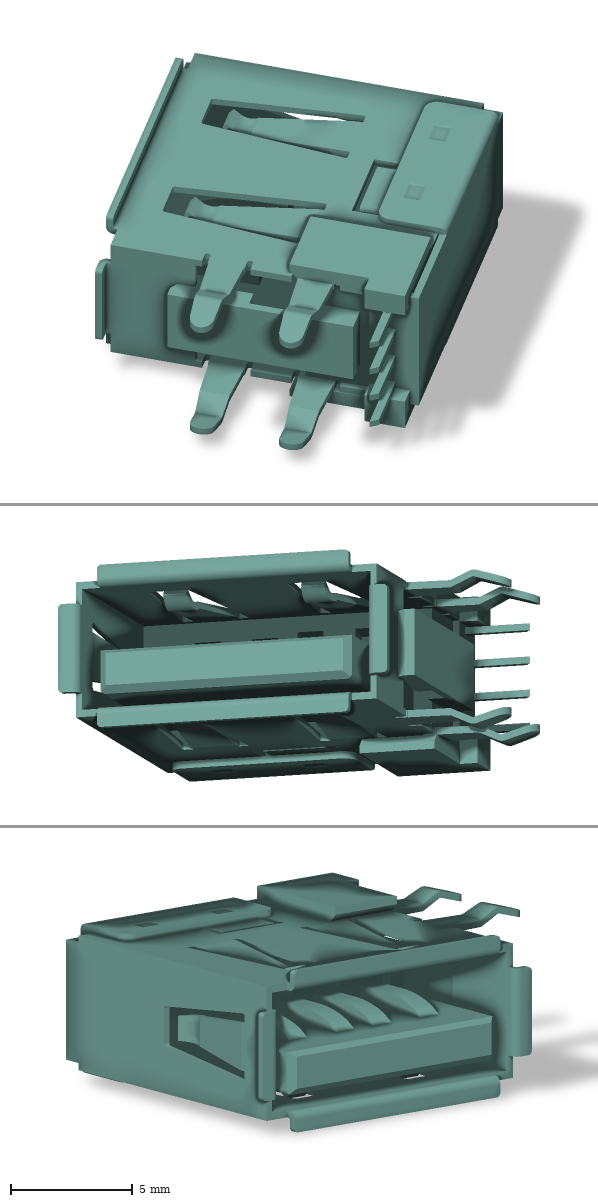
import cadquery as cq
import math


SHELL_FRONT = 0.5
SHELL_BACK = 13.69
SHELL_HALF_Y = 6.52
SHELL_HALF_Z = 2.85
SHEET = 0.3
SIDE_SHEET = 0.27
INNER_BACK = SHELL_BACK - SHEET
INNER_HALF_Y = SHELL_HALF_Y - SIDE_SHEET
INNER_HALF_Z = SHELL_HALF_Z - SHEET
OPEN_SIDE_START = 4.13

FLANGE_BEND = 0.34
FLANGE_INNER_BEND = 0.07
FLANGE_TIP_Z = 3.41
FLANGE_TIP_Y = 7.13
FLANGE_HALF_LONG = 5.45
FLANGE_HALF_SHORT = 1.85
FLANGE_CORNER = 0.18

FINGER_ROOT_HALF = 1.0
FINGER_TIP_HALF = 0.5
FINGER_RISE = math.radians(40)
FINGER_FOLD_ENTRY = math.radians(30)
FINGER_FOLD_RADIUS = 0.66
FINGER_LIP = 0.4
TOP_FINGER_ROOT = 8.15
TOP_FINGER_RUN = 4.1
TOP_FINGER_DROP = 0.4
TOP_FINGER_Y = 2.98
SIDE_FINGER_ROOT = 2.2
SIDE_FINGER_RUN = 3.29
SIDE_FINGER_DROP = 0.48
SLOT_BEHIND_ROOT = 0.25
TOP_SLOT_RUN = 6.18
SIDE_SLOT_RUN = 5.04
SLOT_ROOT_HALF = 1.45
SLOT_TIP_HALF = 0.84
SLOT_CORNER = 0.1

PIN_XS = (5.45, 9.27)
PIN_ROOT_Y = -5.99
PIN_RISE_Y = -8.33
PIN_PEAK_Y = -9.27
PIN_END_Y = -10.74
PIN_PEAK_LIFT = 0.43
PIN_PEAK_RADIUS = 0.45
PIN_ROOT_HALF = 0.79
PIN_TIP_HALF = 0.52
RELIEF_WIDTH = 0.25

TAB_START = 10.67
TAB_Y_MIN = -2.2
TAB_Y_MAX = 5.75
TAB_CORNER = 0.54
TAB_BEND = 0.29
DIMPLE_X = 11.75
DIMPLE_YS = (3.8, -0.18)
DIMPLE_SIZE = (0.77, 1.0)
DIMPLE_DEPTH = 0.04
DIMPLE_SLOPE = 70
WINDOW_START = 9.49
WINDOW_END = 11.25
WINDOW_Y = 0.04
WINDOW_WIDTH = 3.48
LATCH_GAP = 0.25
LATCH_CHAMFER = 0.18
NOTCH_START = 12.87
REAR_SLIT_END_Y = -6.22

HOUSING_FRONT = 8.77
HOUSING_BACK = 13.31
PIN_BLOCK_START = 11.58
WING_FRONT_Y = -6.55
STAND_Y = -7.3
WING_START = 8.17
WING_HALF_Z = 3.5
WING_Y_MAX = -3.3
WING_CHAMFER = 0.32
UPPER_LEG_INNER_Z = 2.48
LOWER_LEG_INNER_Z = -2.1
CAP_START = 3.15
CAP_END = 11.1
CAP_HALF_Z = 1.4
CAP_CHAMFER_X = 0.23
CAP_CHAMFER_Y = 0.32
CAP_INNER_Y = -6.3
CAP_RECESS_START = 6.55
CAP_RECESS_END = 8.2
CAP_RECESS_Y = -6.97

TONGUE_FRONT = 0.21
TONGUE_HALF_Y = 5.45
TONGUE_TOP = -0.09
TONGUE_BOTTOM = -1.93
TONGUE_CHAMFER = 0.3
TONGUE_TOP_CHAMFER = 0.18
TONGUE_ROUND = 0.21
CONTACT_YS = (3.48, 0.98, -0.98, -3.48)
CONTACT_WIDTH = 0.96
CONTACT_START = 2.2
CONTACT_ARC_START = (2.68, 0.21)
CONTACT_PEAK_X = 4.54
CONTACT_PEAK_Z = 0.59
CONTACT_END = 6.15
PORT_WIDTH = 1.13
PORT_TOP = 1.7
PORT_DEPTH = 0.9
PORT_LEAD_IN = 0.18
TAIL_X = 12.53
TAIL_ZS = (2.25, 0.85, -0.54, -1.93)
TAIL_WIDTH = 0.34
TAIL_HEIGHT = 0.29
TAIL_END_Y = -9.33
TAIL_BEVEL = 0.23


def box(x0, x1, y0, y1, z0, z1):
    return cq.Workplane("XY").box(x1 - x0, y1 - y0, z1 - z0, centered=False).translate((x0, y0, z0))


def mirror_z(solid):
    return solid.mirror("XY")


def tapered_plan(x0, half0, x1, half1, z0, z1):
    """Prism symmetric about Y = 0 whose half width runs from half0 at x0 to half1 at x1."""
    points = [(x0, -half0), (x1, -half1), (x1, half1), (x0, half0)]
    return cq.Workplane("XY").polyline(points).close().extrude(z1 - z0).translate((0, 0, z0))


def flange(wall, height, half_width):
    """Flared lip of a wall whose outer face is Z = 0."""
    bend_middle = FLANGE_BEND * (1 - math.sqrt(0.5))
    inner_middle = FLANGE_INNER_BEND * (1 - math.sqrt(0.5))
    lip = (
        cq.Workplane("XZ")
        .moveTo(SHELL_FRONT, -wall)
        .lineTo(FLANGE_BEND, -wall)
        .threePointArc((bend_middle, bend_middle - wall), (0, FLANGE_BEND - wall))
        .lineTo(0, height)
        .lineTo(SHEET, height)
        .lineTo(SHEET, FLANGE_INNER_BEND)
        .threePointArc((SHEET + inner_middle, inner_middle), (SHEET + FLANGE_INNER_BEND, 0))
        .lineTo(SHELL_FRONT, 0)
        .close()
        .extrude(half_width, both=True)
    )
    return lip.edges("|X and >Z").fillet(FLANGE_CORNER)


def finger(wall, run, drop):
    """Sprung finger with an upturned lip, rooted at X = 0 in a wall with outer face Z = 0, pointing to -X."""
    def offset(point, distance, angle):
        return (point[0] + distance * math.sin(angle), point[1] + distance * math.cos(angle))

    fold_start = (-run, -drop)
    fold_centre = offset(fold_start, FINGER_FOLD_RADIUS, -FINGER_FOLD_ENTRY)
    under_radius = FINGER_FOLD_RADIUS + wall
    fold_end = offset(fold_centre, -FINGER_FOLD_RADIUS, FINGER_RISE)
    lip_top = (
        fold_end[0] - FINGER_LIP * math.cos(FINGER_RISE),
        fold_end[1] + FINGER_LIP * math.sin(FINGER_RISE),
    )
    lip_under = offset(lip_top, -wall, FINGER_RISE)
    under_fold_end = offset(fold_centre, -under_radius, FINGER_RISE)
    under_fold_low = offset(fold_centre, -under_radius, 0)
    under_fold_start = offset(fold_centre, -under_radius, -FINGER_FOLD_ENTRY)
    strip = (
        cq.Workplane("XZ")
        .moveTo(0, 0)
        .lineTo(*fold_start)
        .threePointArc(offset(fold_centre, -FINGER_FOLD_RADIUS, 0), fold_end)
        .lineTo(*lip_top)
        .lineTo(*lip_under)
        .lineTo(*under_fold_end)
        .threePointArc(under_fold_low, under_fold_start)
        .lineTo(0, -wall)
        .close()
        .extrude(FINGER_ROOT_HALF, both=True)
    )
    plan = tapered_plan(lip_under[0], FINGER_TIP_HALF, 0, FINGER_ROOT_HALF, -SHELL_HALF_Z, SHELL_HALF_Z)
    return strip.intersect(plan)


def finger_slot(wall, run):
    """U-shaped opening around a finger."""
    opening = tapered_plan(-run, SLOT_TIP_HALF, SLOT_BEHIND_ROOT, SLOT_ROOT_HALF, -wall, 0)
    opening = opening.edges("|Z").fillet(SLOT_CORNER)
    root = box(0, SLOT_BEHIND_ROOT, -FINGER_ROOT_HALF, FINGER_ROOT_HALF, -wall, 0)
    return opening.cut(root)


def on_top(solid, x=0, y=0):
    """Place a wall feature on the top of the shell."""
    return solid.translate((x, y, SHELL_HALF_Z))


def on_left(solid, x=0):
    """Place a wall feature on the +Y wall."""
    return solid.rotate((0, 0, 0), (1, 0, 0), -90).translate((x, SHELL_HALF_Y, 0))


def shield_pin(x):
    """Upper solder pin, bent outwards and back, with a rounded end."""
    top = SHELL_HALF_Z
    peak = top + PIN_PEAK_LIFT
    upper = [(PIN_ROOT_Y, top), (PIN_RISE_Y, top), (PIN_PEAK_Y, peak), (PIN_END_Y, top)]
    lower = [(y, z - SHEET) for y, z in reversed(upper)]
    strip = (
        cq.Workplane("YZ")
        .polyline(upper + lower)
        .close()
        .extrude(PIN_ROOT_HALF, both=True)
        .edges("|X and >Z")
        .fillet(PIN_PEAK_RADIUS)
    )
    round_start = PIN_END_Y + PIN_TIP_HALF
    plan = (
        cq.Workplane("XY")
        .moveTo(-PIN_ROOT_HALF, PIN_ROOT_Y)
        .lineTo(-PIN_TIP_HALF, round_start)
        .threePointArc((0, PIN_END_Y), (PIN_TIP_HALF, round_start))
        .lineTo(PIN_ROOT_HALF, PIN_ROOT_Y)
        .close()
        .extrude(WING_HALF_Z)
    )
    return strip.intersect(plan).translate((x, 0, 0))


def pin_relief(x):
    """Round-ended slit centred on x beside the root of an upper pin."""
    radius = RELIEF_WIDTH / 2
    end = PIN_ROOT_Y - radius
    slit = box(x - radius, x + radius, -SHELL_HALF_Y, end, INNER_HALF_Z, SHELL_HALF_Z)
    round_end = cq.Workplane("XY", origin=(x, end, INNER_HALF_Z)).circle(radius).extrude(SHEET)
    return slit.union(round_end)


def rear_tab():
    """Flap of the rear cover folded onto the top of the shell."""
    top = SHELL_HALF_Z + SHEET
    tab = box(TAB_START, SHELL_BACK, TAB_Y_MIN, TAB_Y_MAX, SHELL_HALF_Z, top)
    tab = tab.edges("|Z and <X").fillet(TAB_CORNER)
    tab = tab.edges(">X and >Z").fillet(TAB_BEND)
    for y in DIMPLE_YS:
        dimple = (
            cq.Workplane("XY", origin=(DIMPLE_X, y, top))
            .rect(*DIMPLE_SIZE)
            .extrude(-DIMPLE_DEPTH, taper=DIMPLE_SLOPE)
        )
        tab = tab.cut(dimple)
    return tab


def latch():
    """Bevelled housing pad that fills the shell window."""
    half = WINDOW_WIDTH / 2 - LATCH_GAP
    pad = box(WINDOW_START + LATCH_GAP, WINDOW_END, WINDOW_Y - half, WINDOW_Y + half,
              INNER_HALF_Z, SHELL_HALF_Z)
    return pad.edges("|X and >Z").chamfer(LATCH_CHAMFER)


def shell():
    outer = box(SHELL_FRONT, SHELL_BACK, -SHELL_HALF_Y, SHELL_HALF_Y, -SHELL_HALF_Z, SHELL_HALF_Z)
    inner = box(SHELL_FRONT, INNER_BACK, -INNER_HALF_Y, INNER_HALF_Y, -INNER_HALF_Z, INNER_HALF_Z)
    open_side = box(OPEN_SIDE_START, INNER_BACK, -SHELL_HALF_Y, -INNER_HALF_Y,
                    -INNER_HALF_Z, INNER_HALF_Z)
    body = outer.cut(inner).cut(open_side)

    window_half = WINDOW_WIDTH / 2
    top_cuts = [box(WINDOW_START, WINDOW_END, WINDOW_Y - window_half, WINDOW_Y + window_half,
                    INNER_HALF_Z, SHELL_HALF_Z)]
    top_parts = [on_top(flange(SHEET, FLANGE_TIP_Z - SHELL_HALF_Z, FLANGE_HALF_LONG)), rear_tab()]
    for y in (-TOP_FINGER_Y, TOP_FINGER_Y):
        slot = finger_slot(SHEET, TOP_SLOT_RUN)
        spring = finger(SHEET, TOP_FINGER_RUN, TOP_FINGER_DROP)
        top_cuts.append(on_top(slot, TOP_FINGER_ROOT, y))
        top_parts.append(on_top(spring, TOP_FINGER_ROOT, y))
    for x in PIN_XS:
        relief_offset = PIN_ROOT_HALF + RELIEF_WIDTH / 2
        top_cuts += [pin_relief(x - relief_offset), pin_relief(x + relief_offset)]
        top_parts.append(shield_pin(x))

    for cut in top_cuts:
        body = body.cut(cut).cut(mirror_z(cut))
    for part in top_parts:
        body = body.union(part).union(mirror_z(part))

    side_flange = on_left(flange(SIDE_SHEET, FLANGE_TIP_Y - SHELL_HALF_Y, FLANGE_HALF_SHORT))
    body = body.union(side_flange).union(side_flange.mirror("XZ"))
    side_slot = finger_slot(SIDE_SHEET, SIDE_SLOT_RUN).mirror("YZ")
    side_finger = finger(SIDE_SHEET, SIDE_FINGER_RUN, SIDE_FINGER_DROP).mirror("YZ")
    body = body.cut(on_left(side_slot, SIDE_FINGER_ROOT))
    return body.union(on_left(side_finger, SIDE_FINGER_ROOT))


def wing():
    """Upper shelf of the housing lying on the shell, with one bevelled end."""
    profile = [
        (WING_START, WING_HALF_Z),
        (WING_START, SHELL_HALF_Z + WING_CHAMFER),
        (WING_START + WING_CHAMFER, SHELL_HALF_Z),
        (HOUSING_BACK, SHELL_HALF_Z),
        (HOUSING_BACK, WING_HALF_Z),
    ]
    depth = WING_Y_MAX - WING_FRONT_Y
    return (
        cq.Workplane("XZ", origin=(0, WING_Y_MAX, 0))
        .polyline(profile)
        .close()
        .extrude(depth)
    )


def cap():
    """Stand-off bar on the open side, notched on its inner face."""
    plan = [
        (CAP_START, STAND_Y),
        (CAP_START, -SHELL_HALF_Y - CAP_CHAMFER_Y),
        (CAP_START + CAP_CHAMFER_X, -SHELL_HALF_Y),
        (OPEN_SIDE_START, -SHELL_HALF_Y),
        (OPEN_SIDE_START, CAP_INNER_Y),
        (CAP_RECESS_START, CAP_INNER_Y),
        (CAP_RECESS_START, CAP_RECESS_Y),
        (CAP_RECESS_END, CAP_RECESS_Y),
        (CAP_RECESS_END, -INNER_HALF_Y),
        (CAP_END, -INNER_HALF_Y),
        (CAP_END, STAND_Y),
    ]
    return cq.Workplane("XY").polyline(plan).close().extrude(CAP_HALF_Z, both=True)


def tongue():
    blade = box(TONGUE_FRONT, HOUSING_FRONT, -TONGUE_HALF_Y, TONGUE_HALF_Y, TONGUE_BOTTOM, TONGUE_TOP)
    blade = blade.edges("|X and <Z").fillet(TONGUE_ROUND)
    depth = TONGUE_CHAMFER
    middle_z = (TONGUE_TOP - TONGUE_TOP_CHAMFER + TONGUE_BOTTOM + depth) / 2
    nose = (
        cq.Workplane("YZ", origin=(TONGUE_FRONT, 0, middle_z))
        .rect(2 * (TONGUE_HALF_Y - depth), TONGUE_TOP - TONGUE_TOP_CHAMFER - TONGUE_BOTTOM - depth)
        .workplane(offset=depth)
        .center(0, (TONGUE_TOP + TONGUE_BOTTOM) / 2 - middle_z)
        .rect(2 * TONGUE_HALF_Y, TONGUE_TOP - TONGUE_BOTTOM)
        .loft(ruled=True)
    )
    rear = box(TONGUE_FRONT + depth, HOUSING_FRONT, -TONGUE_HALF_Y, TONGUE_HALF_Y, TONGUE_BOTTOM, TONGUE_TOP)
    return blade.intersect(nose.union(rear))


def contact_port(y):
    """Opening in the housing above a contact; the two on the -Y side have a sloped lead-in."""
    lead_in = PORT_LEAD_IN if y < 0 else 0
    back = HOUSING_FRONT + PORT_DEPTH
    profile = [
        (HOUSING_FRONT, TONGUE_TOP),
        (back, TONGUE_TOP),
        (back, PORT_TOP),
        (HOUSING_FRONT, PORT_TOP + lead_in),
    ]
    port = cq.Workplane("XZ").polyline(profile).close().extrude(PORT_WIDTH / 2, both=True)
    return port.translate((0, y, 0))


def contact(y):
    """Domed contact spring standing on the tongue."""
    arc_x, arc_z = CONTACT_ARC_START
    rise = CONTACT_PEAK_Z - arc_z
    run = CONTACT_PEAK_X - arc_x
    radius = (run ** 2 + rise ** 2) / (2 * rise)
    middle_x = arc_x + run / 2
    middle_z = CONTACT_PEAK_Z - radius + math.sqrt(radius ** 2 - (run / 2) ** 2)
    spring = (
        cq.Workplane("XZ")
        .moveTo(CONTACT_START, TONGUE_TOP)
        .lineTo(arc_x, arc_z)
        .threePointArc((middle_x, middle_z), (CONTACT_PEAK_X, CONTACT_PEAK_Z))
        .lineTo(CONTACT_END, CONTACT_PEAK_Z)
        .lineTo(CONTACT_END, TONGUE_TOP)
        .close()
        .extrude(CONTACT_WIDTH / 2, both=True)
    )
    return spring.translate((0, y, 0))


def contact_tail(z):
    """Solder tail with one bevelled corner."""
    left = TAIL_X - TAIL_WIDTH / 2
    right = TAIL_X + TAIL_WIDTH / 2
    plan = [
        (left, -SHELL_HALF_Y),
        (left, TAIL_END_Y),
        (right, TAIL_END_Y + TAIL_BEVEL),
        (right, -SHELL_HALF_Y),
    ]
    tail = cq.Workplane("XY").polyline(plan).close().extrude(TAIL_HEIGHT / 2, both=True)
    return tail.translate((0, 0, z))


def housing():
    body = box(HOUSING_FRONT, INNER_BACK, -INNER_HALF_Y, INNER_HALF_Y, -INNER_HALF_Z, INNER_HALF_Z)
    for y in CONTACT_YS:
        body = body.cut(contact_port(y))
    pin_block = box(PIN_BLOCK_START, INNER_BACK, -SHELL_HALF_Y, -INNER_HALF_Y,
                    -INNER_HALF_Z, INNER_HALF_Z)
    upper_leg = box(PIN_BLOCK_START, HOUSING_BACK, STAND_Y, -SHELL_HALF_Y,
                    UPPER_LEG_INNER_Z, WING_HALF_Z)
    lower_leg = box(PIN_BLOCK_START, HOUSING_BACK, STAND_Y, -SHELL_HALF_Y,
                    -WING_HALF_Z, LOWER_LEG_INNER_Z)
    parts = [pin_block, upper_leg, lower_leg, cap(), tongue()]
    for part in (wing(), latch()):
        parts += [part, mirror_z(part)]
    parts += [contact(y) for y in CONTACT_YS]
    parts += [contact_tail(z) for z in TAIL_ZS]
    for part in parts:
        body = body.union(part)
    return body


def rear_gaps():
    """Bend relief at the +Y rear corner, and the slits between the rear cover and the sheets beside it."""
    relief = box(NOTCH_START, INNER_BACK, TAB_Y_MAX, INNER_HALF_Y, -SHELL_HALF_Z, SHELL_HALF_Z)
    corner = box(NOTCH_START, SHELL_BACK, TAB_Y_MAX, SHELL_HALF_Y, INNER_HALF_Z, SHELL_HALF_Z)
    slit = box(HOUSING_BACK, INNER_BACK, REAR_SLIT_END_Y, TAB_Y_MIN, INNER_HALF_Z, SHELL_HALF_Z)
    upper = corner.union(slit)
    return relief.union(upper).union(mirror_z(upper))


result = shell().union(housing()).cut(rear_gaps()).clean()